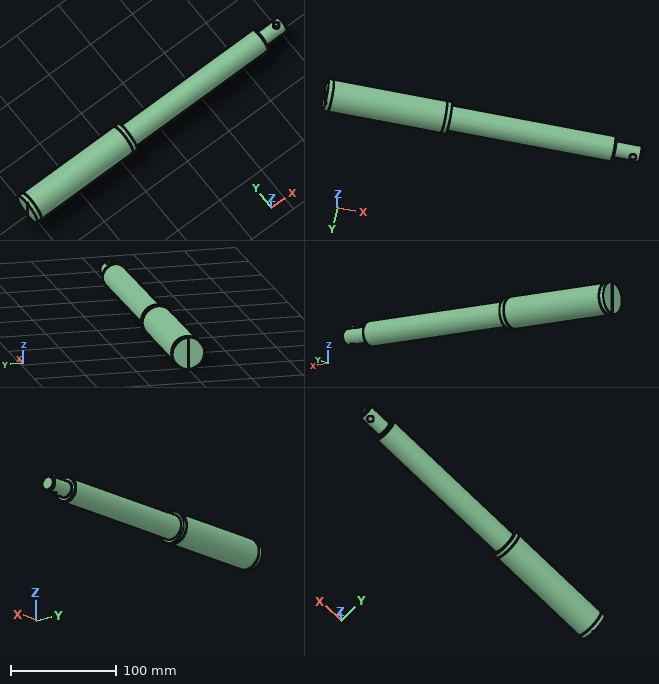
import cadquery as cq

total_length = 307.5
body_length = 120.0
tube_end = 280.5

body_diameter = 31.5
band_length = 5.0
groove_width = 0.3
groove_depth = 0.3

slot_width = 1.0
slot_depth = 1.0

tube_diameter = 25.0
tube_chamfer = 1.0
collar_diameter = 16.3
collar_length = 1.0
rod_diameter = 16.0
rod_tip_chamfer = 1.5

pin_diameter = 6.0
pin_position = 299.3
pin_top = 11.0
pin_chamfer = 1.0


def cylinder_along_x(start, end, diameter):
    """Solid cylinder on the X axis between two stations."""
    return cq.Workplane("YZ").workplane(offset=start).circle(diameter / 2).extrude(end - start)


def make_body():
    """Body cylinder with its two band grooves and the slot in the closed end."""
    body = cylinder_along_x(0, body_length, body_diameter)
    groove_floor = body_diameter - 2 * groove_depth
    for groove_start in (band_length, body_length - band_length):
        groove_end = groove_start + groove_width
        ring = cylinder_along_x(groove_start, groove_end, body_diameter)
        core = cylinder_along_x(groove_start, groove_end, groove_floor)
        body = body.cut(ring.cut(core))
    slot = cq.Workplane("XY").box(2 * slot_depth, slot_width, 2 * body_diameter)
    return body.cut(slot)


def make_shaft():
    """Chamfered tube, collar and thinner rod on one axis."""
    tube = cylinder_along_x(body_length, tube_end, tube_diameter).faces(">X").chamfer(tube_chamfer)
    rod = cylinder_along_x(tube_end, total_length, rod_diameter).faces(">X").chamfer(rod_tip_chamfer)
    collar = cylinder_along_x(tube_end, tube_end + collar_length, collar_diameter)
    return tube.union(collar).union(rod)


def make_pin():
    """Cross pin, chamfered at its top."""
    bottom = -rod_diameter / 2
    pin = cq.Workplane("XY", origin=(pin_position, 0, bottom)).circle(pin_diameter / 2)
    return pin.extrude(pin_top - bottom).faces(">Z").chamfer(pin_chamfer)


result = make_body().union(make_shaft()).union(make_pin())